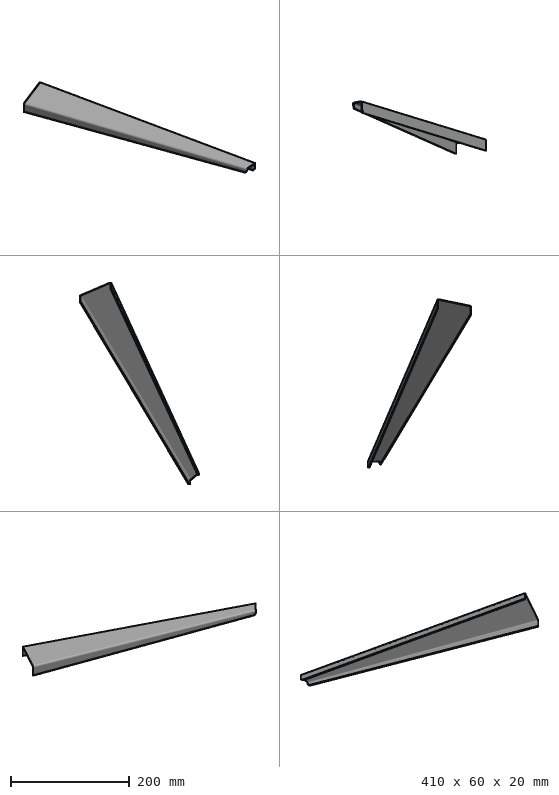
import cadquery as cq
import math

length = 410.0
nominal_width = 60.0
height = 20.03
thickness = 2.0
inner_bend_radius = 1.4
outer_bend_radius = inner_bend_radius + thickness

front_bend_end_x = 405.4
narrow_width = 21.0
front_flange_end_depth = 10.1
front_flange_setback = 3.0
back_corner_length = 4.0
back_corner_height = 5.4

taper_slope = (nominal_width - narrow_width) / front_bend_end_x
taper_angle = math.atan(taper_slope)

back_bend_y = -outer_bend_radius
front_bend_start_y = -nominal_width + outer_bend_radius / math.cos(taper_angle)
front_bend_end_y = front_bend_start_y + taper_slope * front_bend_end_x
front_bend_length = math.hypot(front_bend_end_x, front_bend_end_y - front_bend_start_y)


def web():
    return (
        cq.Workplane("XY")
        .polyline([
            (0, back_bend_y),
            (length, back_bend_y),
            (front_bend_end_x, front_bend_end_y),
            (0, front_bend_start_y),
        ])
        .close()
        .extrude(-thickness)
    )


def bent_flange(bend_length):
    """Bend and flange running along +X, with the bend line on the X axis and
    the flange hanging on the -Y side."""
    diagonal = math.sqrt(0.5)
    outer_mid = outer_bend_radius * diagonal
    inner_mid = inner_bend_radius * diagonal
    return (
        cq.Workplane("YZ")
        .moveTo(0, 0)
        .threePointArc(
            (-outer_mid, outer_mid - outer_bend_radius),
            (-outer_bend_radius, -outer_bend_radius),
        )
        .lineTo(-outer_bend_radius, -height)
        .lineTo(-inner_bend_radius, -height)
        .lineTo(-inner_bend_radius, -outer_bend_radius)
        .threePointArc(
            (-inner_mid, inner_mid - outer_bend_radius),
            (0, -thickness),
        )
        .close()
        .extrude(bend_length)
    )


def flange_cutter(points):
    """Prism over an XZ outline, deep enough in -Y to cut through a flange."""
    return cq.Workplane("XZ").polyline(points).close().extrude(outer_bend_radius)


def front_flange():
    """Flange whose depth shrinks toward the narrow end, with a slanted end."""
    trim = flange_cutter([
        (0, -height),
        (front_bend_length - front_flange_setback, -front_flange_end_depth),
        (front_bend_length, -outer_bend_radius),
        (front_bend_length, -height),
    ])
    return (
        bent_flange(front_bend_length)
        .cut(trim)
        .rotate((0, 0, 0), (0, 0, 1), math.degrees(taper_angle))
        .translate((0, front_bend_start_y, 0))
    )


def back_flange():
    """Straight flange with its lower corner cut off at the narrow end."""
    corner = flange_cutter([
        (length, -height),
        (length - back_corner_length, -height),
        (length, -height + back_corner_height),
    ])
    return (
        bent_flange(length)
        .cut(corner)
        .mirror("XZ")
        .translate((0, back_bend_y, 0))
    )


result = web().union(back_flange()).union(front_flange())